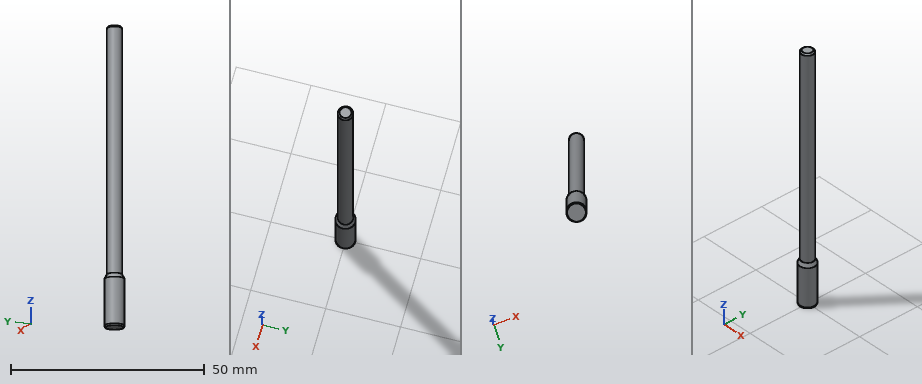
import cadquery as cq

total_length = 80.0
rod_diameter = 4.0
rod_tip_chamfer = 0.5
sleeve_diameter = 5.3
sleeve_length = 14.1
shoulder_height = 1.2
foot_chamfer_height = 0.5
foot_chamfer_width = 0.2

rod_radius = rod_diameter / 2
sleeve_radius = sleeve_diameter / 2
shoulder_base = sleeve_length - shoulder_height


def make_sleeve():
    """Solid handle: chamfered foot, straight barrel and a cone narrowing to the rod."""
    profile = (
        cq.Workplane("XZ")
        .moveTo(0, 0)
        .lineTo(sleeve_radius - foot_chamfer_width, 0)
        .lineTo(sleeve_radius, foot_chamfer_height)
        .lineTo(sleeve_radius, shoulder_base)
        .lineTo(rod_radius, sleeve_length)
        .lineTo(0, sleeve_length)
        .close()
    )
    return profile.revolve(360, (0, 0, 0), (0, 1, 0))


def make_rod():
    """Plain round rod standing on the sleeve, with a chamfered tip."""
    rod = (
        cq.Workplane("XY", origin=(0, 0, sleeve_length))
        .circle(rod_radius)
        .extrude(total_length - sleeve_length)
    )
    return rod.faces(">Z").edges().chamfer(rod_tip_chamfer)


sleeve = make_sleeve()
rod = make_rod()

result = cq.Compound.makeCompound([sleeve.val(), rod.val()])